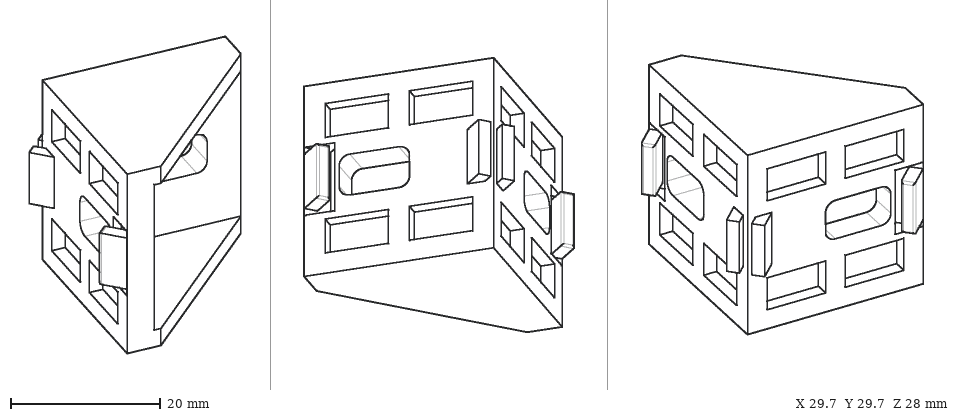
import cadquery as cq
import math


OVERALL_LENGTH = 29.7
ARM_LENGTH = 27.0
HEIGHT = 28.0
END_WIDTH = 5.0
FRONT_WALL = 4.0
SIDE_WALL = END_WIDTH
PLATE = 2.67
MID_HEIGHT = HEIGHT / 2

POCKET_MARGIN = 3.0
POCKET_HEIGHT = 5.0
POCKET_DEPTH = 2.0
POCKET_GAP = POCKET_MARGIN
POCKET_LENGTH = (ARM_LENGTH - 2 * POCKET_MARGIN - POCKET_GAP) / 2

SLOT_LENGTH = 10.0
SLOT_HEIGHT = 6.0
SLOT_RADIUS = 1.5
SLOT_CENTER = 17.0

LUG_HEIGHT = 8.0
CORNER_LUG_END = 3.75
CORNER_LUG_WIDTH = 2.52
CORNER_LUG_REACH = 2.52
SNAP_LUG_END = 26.95
SNAP_LUG_WIDTH = 2.73
SNAP_LUG_REACH = OVERALL_LENGTH - ARM_LENGTH
SNAP_LUG_ROUND = 0.33

NOTCH_HEIGHT = 10.0
NOTCH_START = 22.63


def prism(points, height):
    """Upright prism centred on the mid height of the bracket."""
    bottom = MID_HEIGHT - height / 2
    return cq.Workplane("XY").workplane(offset=bottom).polyline(points).close().extrude(height)


def swap_xy(shape):
    """Reflect about the plane X = Y, taking a feature from one arm to the other."""
    return shape.mirror("YZ").rotate((0, 0, 0), (0, 0, 1), -90)


def body():
    outline = [
        (0, 0),
        (ARM_LENGTH, 0),
        (ARM_LENGTH, END_WIDTH),
        (END_WIDTH, ARM_LENGTH),
        (0, ARM_LENGTH),
    ]
    diagonal = ARM_LENGTH + END_WIDTH
    cavity = [
        (SIDE_WALL, FRONT_WALL),
        (diagonal - FRONT_WALL, FRONT_WALL),
        (SIDE_WALL, diagonal - SIDE_WALL),
    ]
    return prism(outline, HEIGHT).cut(prism(cavity, HEIGHT - 2 * PLATE))


def pockets():
    pitch_x = POCKET_LENGTH + POCKET_GAP
    pitch_z = HEIGHT - 2 * POCKET_MARGIN - POCKET_HEIGHT
    return (
        cq.Workplane("XZ", origin=(ARM_LENGTH / 2, 0, MID_HEIGHT))
        .rarray(pitch_x, pitch_z, 2, 2)
        .rect(POCKET_LENGTH, POCKET_HEIGHT)
        .extrude(-POCKET_DEPTH)
    )


def screw_slot():
    return (
        cq.Workplane("XZ", origin=(SLOT_CENTER, 0, MID_HEIGHT))
        .rect(SLOT_LENGTH, SLOT_HEIGHT)
        .extrude(-SIDE_WALL)
        .edges("|Y")
        .fillet(SLOT_RADIUS)
    )


def notch():
    near_side = SNAP_LUG_END - 2 * SNAP_LUG_WIDTH
    deepest = (SNAP_LUG_END - SNAP_LUG_WIDTH, SNAP_LUG_WIDTH)
    outline = [
        (NOTCH_START, 0),
        (NOTCH_START, NOTCH_START - near_side),
        deepest,
        (SNAP_LUG_END, 0),
    ]
    return prism(outline, NOTCH_HEIGHT)


def slanted_lug(far_side, width, reach, root_depth):
    """Bar with a square-cut tip. Root depth 0 ends it flush with the arm face."""
    outline = [
        (far_side, 0),
        (far_side - reach, -reach),
        (far_side - reach - width / 2, -reach + width / 2),
        (far_side - width + root_depth, root_depth),
    ]
    return prism(outline, LUG_HEIGHT)


def corner_lug():
    return slanted_lug(CORNER_LUG_END, CORNER_LUG_WIDTH, CORNER_LUG_REACH, 0)


def snap_lug():
    sharp_reach = SNAP_LUG_REACH + SNAP_LUG_ROUND * (math.sqrt(2) - 1)
    lug = slanted_lug(SNAP_LUG_END, SNAP_LUG_WIDTH, sharp_reach, SNAP_LUG_WIDTH / 2)
    tip = cq.selectors.DirectionMinMaxSelector(cq.Vector(-1, -1, 0))
    return lug.faces(tip).edges().fillet(SNAP_LUG_ROUND)


result = body()
for cutter in (pockets(), screw_slot(), notch()):
    result = result.cut(cutter).cut(swap_xy(cutter))
for lug in (corner_lug(), snap_lug()):
    result = result.union(lug).union(swap_xy(lug))